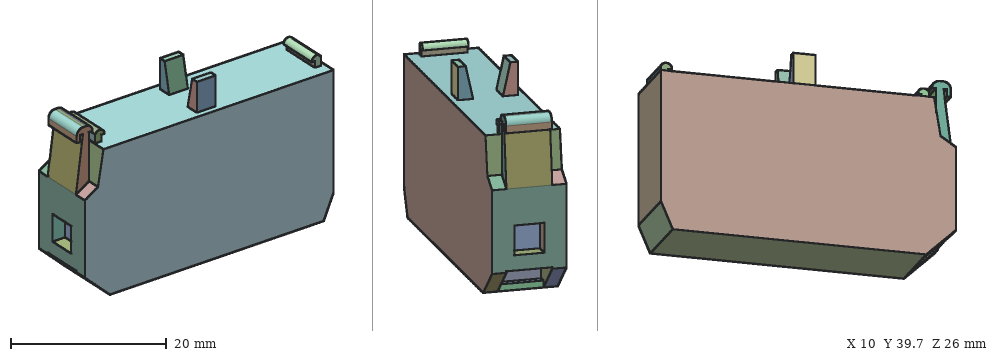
import cadquery as cq
import math

width = 10.0
length = 39.7
body_height = 21.5
front_chamfer_run = 4.0
front_chamfer_rise = 3.75
back_chamfer_run = 1.6
back_chamfer_rise = 3.65

shoulder_top_y = 2.98
shoulder_foot_y = 2.1
shoulder_foot_z = 16.3
shoulder_front_z = 15.0

clip_width = 6.15
clip_top_z = 24.5
clip_head_radius = 1.05
clip_head_front_y = 0.1
clip_head_flat = 0.48
clip_lip_thickness = 0.55
clip_lip_drop = 1.0
clip_leg_front_y = 1.1

hook_radius = 0.8
hook_centre_z = 22.47
hook_stem_thickness = 1.0
hook_stem_offset = 0.7
front_hook_y = 3.77
back_hook_y = 38.4

peg_top_z = 26.0
peg_span = 8.05
peg_top_thickness = 1.05
peg_base_thickness = 2.02
peg_centre_y = 20.1
peg_length = 2.98

window_size = 4.0
window_bottom_z = 6.0
window_depth = 2.0

recess_top_z = 3.95
catch_lip_height = 0.95
recess_groove_depth = 1.0


def extrude_across(sketch, across):
    """Extrude a YZ outline symmetrically about the middle of the part."""
    return sketch.extrude(across / 2, both=True)


def block(across, start_y, end_y, start_z, end_z):
    """Box centred in X, given by its Y and Z limits."""
    size_y = end_y - start_y
    size_z = end_z - start_z
    box = cq.Workplane("XY").box(across, size_y, size_z, centered=(True, False, False))
    return box.translate((0, start_y, start_z))


def make_body():
    outline = (
        cq.Workplane("YZ")
        .moveTo(front_chamfer_run, 0)
        .lineTo(length - back_chamfer_run, 0)
        .lineTo(length, back_chamfer_rise)
        .lineTo(length, body_height)
        .lineTo(shoulder_top_y, body_height)
        .lineTo(shoulder_foot_y, shoulder_foot_z)
        .lineTo(0, shoulder_front_z)
        .lineTo(0, front_chamfer_rise)
        .close()
    )
    return extrude_across(outline, width)


def make_clip():
    """Tapered leg rising from the shoulder, with a rounded head and a lip at the front."""
    under_z = clip_top_z - clip_head_radius
    lip_z = under_z - clip_lip_drop
    lip_back_y = clip_head_front_y + clip_lip_thickness
    flat_front_y = clip_head_front_y + clip_head_radius
    flat_back_y = flat_front_y + clip_head_flat
    head_back_y = flat_back_y + clip_head_radius
    outline = (
        cq.Workplane("YZ")
        .moveTo(0, shoulder_front_z)
        .lineTo(clip_leg_front_y, under_z)
        .lineTo(lip_back_y, under_z)
        .lineTo(lip_back_y, lip_z)
        .lineTo(clip_head_front_y, lip_z)
        .lineTo(clip_head_front_y, under_z)
        .radiusArc((flat_front_y, clip_top_z), clip_head_radius)
        .lineTo(flat_back_y, clip_top_z)
        .radiusArc((head_back_y, under_z), clip_head_radius)
        .lineTo(shoulder_foot_y, under_z)
        .lineTo(shoulder_foot_y, shoulder_foot_z)
        .close()
    )
    return extrude_across(outline, clip_width)


def make_hook(centre_y, outward):
    """Upright stem under a rounded head; outward is the Y sign of the stem side."""
    stem_outer = centre_y + outward * hook_stem_offset
    stem_inner = stem_outer - outward * hook_stem_thickness
    head_inner = centre_y - outward * hook_radius
    arc_end_z = hook_centre_z + math.sqrt(hook_radius**2 - hook_stem_offset**2)
    outline = (
        cq.Workplane("YZ")
        .moveTo(stem_outer, body_height)
        .lineTo(stem_outer, arc_end_z)
        .threePointArc((centre_y, hook_centre_z + hook_radius), (head_inner, hook_centre_z))
        .lineTo(stem_inner, hook_centre_z)
        .lineTo(stem_inner, body_height)
        .close()
    )
    return extrude_across(outline, clip_width)


def make_peg(side):
    """Peg with an upright outer face and a sloped inner face; side is its X sign."""
    outer_x = peg_span / 2
    outline = [
        (side * outer_x, body_height),
        (side * outer_x, peg_top_z),
        (side * (outer_x - peg_top_thickness), peg_top_z),
        (side * (outer_x - peg_base_thickness), body_height),
    ]
    peg = cq.Workplane("XZ").polyline(outline).close().extrude(peg_length / 2, both=True)
    return peg.translate((0, peg_centre_y, 0))


result = make_body().union(make_clip())
result = result.union(make_hook(front_hook_y, -1)).union(make_hook(back_hook_y, 1))
for peg_side in (-1, 1):
    result = result.union(make_peg(peg_side))

window_top_z = window_bottom_z + window_size
result = result.cut(block(window_size, 0, window_depth, window_bottom_z, window_top_z))
recess_back_y = front_chamfer_run + recess_groove_depth
result = result.cut(block(clip_width, 0, front_chamfer_run, 0, catch_lip_height))
result = result.cut(block(clip_width, 0, recess_back_y, catch_lip_height, recess_top_z))